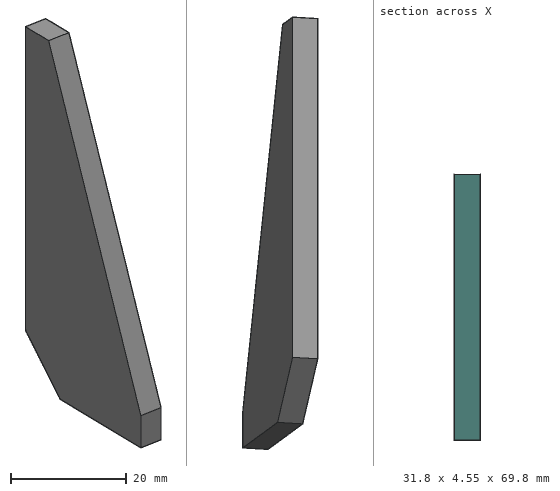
import cadquery as cq

width = 31.8
thickness = 4.55
height = 69.85

top_width = 6.4
toe_height = 6.4
corner_chamfer = 9.6

outline = [
    (corner_chamfer, 0),
    (width, 0),
    (width, toe_height),
    (top_width, height),
    (0, height),
    (0, corner_chamfer),
]

result = cq.Workplane("XZ").polyline(outline).close().extrude(-thickness)